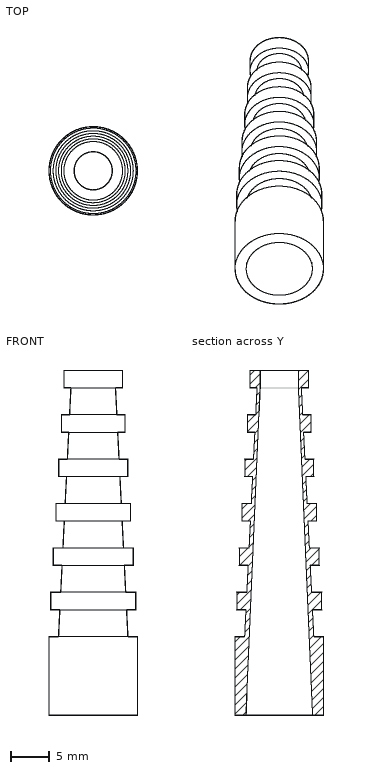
import cadquery as cq

total_height = 44.95
base_height = 10.25
base_diameter = 11.55
base_radius = base_diameter / 2

ring_count = 6
ring_height = 2.3
tip_ring_radius = 3.8
ring_radius_step = 0.35
ring_pitch = (total_height - base_height) / ring_count

core_tip_radius = 2.9
core_root_radius = 4.55

bore_tip_radius = 2.47
core_top = total_height - ring_height
bore_bottom_radius = 4.3


def cylinder(radius, bottom, height):
    return cq.Workplane("XY").workplane(offset=bottom).circle(radius).extrude(height)


def make_core():
    outline = [
        (0, base_height),
        (core_root_radius, base_height),
        (core_tip_radius, core_top),
        (0, core_top),
    ]
    return cq.Workplane("XZ").polyline(outline).close().revolve(360, (0, 0, 0), (0, 1, 0))


def make_bore():
    outline = [
        (0, 0),
        (bore_bottom_radius, 0),
        (bore_tip_radius, core_top),
        (bore_tip_radius, total_height),
        (0, total_height),
    ]
    return cq.Workplane("XZ").polyline(outline).close().revolve(360, (0, 0, 0), (0, 1, 0))


body = cylinder(base_radius, 0, base_height).union(make_core())
for index in range(ring_count):
    ring_radius = tip_ring_radius + index * ring_radius_step
    ring_bottom = core_top - index * ring_pitch
    body = body.union(cylinder(ring_radius, ring_bottom, ring_height))

result = body.cut(make_bore())